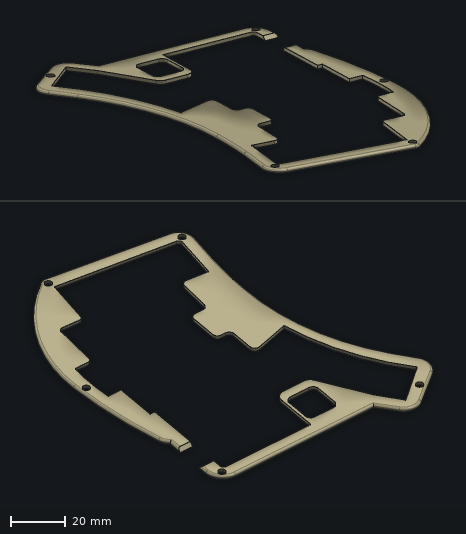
import cadquery as cq
thickness = 1.5
rim_radius = 1.0
screw_hole_diameter = 3.0
screw_holes = [(14.0, 99.5), (82.8, 109.6), (138.9, 84.0), (129.8, 28.5), (9.0, 11.1)]

bar_left_x = 10.1
bar_top_y = 104.0
bar_top_left = (bar_left_x, bar_top_y)
foot_notch = (bar_left_x, 31.7)
foot_left = (-2.5, 21.3)
foot_bottom = (16.2, -2.7)

lower_curve_start = (30.5, 8.2)
lower_curve_mid = (58.7, 22.7)
lower_curve_peak = (92.3, 28.0)
lower_curve_bend = (102.3, 27.7)
lower_curve_end = (112.2, 26.8)
right_bottom = (133.6, 23.9)
right_top = (142.3, 84.2)
crest_right_mid = (118.2, 105.7)
crest = (86.6, 112.6)
crest_left_end = (43.3, 106.4)
shoulder_foot = (39.5, bar_top_y)

bar_radius = 7.8
foot_radius = 6.8
right_bottom_radius = 7.0
right_top_radius = 2.8

gap_left_x = 22.5
gap_right_x = 33.4
bar_bottom_y = 98.0

bar_corner = (15.5, bar_bottom_y)
tab_right_x = 36.8
tab_upper = (tab_right_x, 57.0)
tab_lower = (tab_right_x, 41.5)
tab_root = (bar_corner[0], tab_upper[1])
foot_bend = (14.8, 28.1)
foot_inner_left = (5.1, 20.6)
foot_inner_bottom = (17.5, 5.7)

lower_inner_mid = (39.8, 20.6)
pad_left_root = (66.3, 30.0)
pad_left_y = 47.5
pad_top_y = 54.0
pad_top_left_x = 76.3
pad_top_right_x = 92.0
pad_corners = [
    (61.5, pad_left_y),
    (pad_top_left_x, pad_left_y),
    (pad_top_left_x, pad_top_y),
    (pad_top_right_x, pad_top_y),
    (pad_top_right_x, 46.0),
    (109.4, 44.9),
]
pad_right_root = (108.1, 33.0)

right_inner_bottom = (128.8, 30.1)
right_inner_top = (135.9, 83.4)
recess_right_x = 94.0
recess_left_x = 74.1
recess_side_y = 106.1
recess_mid = ((recess_left_x + recess_right_x) / 2, 106.7)
crest_steps = [(115.0, 86.3), (115.6, 97.0), (recess_right_x, 98.5)]
ledge_left_x = 56.5
ledge_y = 100.1

tab_radius = 3.7
pad_radius = 2.3
step_radius = 1.5

window_left_x = 18.0
window_bottom_y = 42.0
window_width = 14.5
window_height = 13.5
window_radius = 2.4


def round_corners(body, corners, radius):
    """Round the upright edges that stand at the given corner points."""
    for x, y in corners:
        corner = cq.selectors.NearestToPointSelector((x, y, thickness / 2))
        body = body.edges("|Z").edges(corner).fillet(radius)
    return body


def make_blank():
    """Full plate inside the outer outline, with its upper rim rounded."""
    body = (
        cq.Workplane("XY")
        .polyline([bar_top_left, foot_notch, foot_left, foot_bottom, lower_curve_start])
        .threePointArc(lower_curve_mid, lower_curve_peak)
        .threePointArc(lower_curve_bend, lower_curve_end)
        .lineTo(*right_bottom)
        .lineTo(*right_top)
        .threePointArc(crest_right_mid, crest)
        .tangentArcPoint(crest_left_end, relative=False)
        .tangentArcPoint(shoulder_foot, relative=False)
        .close()
        .extrude(thickness)
    )
    body = round_corners(body, [foot_left, foot_bottom], foot_radius)
    body = round_corners(body, [bar_top_left], bar_radius)
    body = round_corners(body, [right_bottom], right_bottom_radius)
    body = round_corners(body, [right_top], right_top_radius)
    return body.faces(">Z").edges().fillet(rim_radius)


def make_opening():
    """Solid that fills the large opening enclosed by the frame."""
    left_side = [bar_corner, tab_root, tab_upper, tab_lower, foot_bend, foot_inner_left, foot_inner_bottom]
    right_side = pad_corners + [pad_right_root, right_inner_bottom, right_inner_top] + crest_steps
    ledge = [(recess_left_x, ledge_y), (ledge_left_x, ledge_y), (ledge_left_x, bar_bottom_y)]
    body = (
        cq.Workplane("XY")
        .polyline(left_side)
        .threePointArc(lower_inner_mid, pad_left_root)
        .polyline(right_side, includeCurrent=True)
        .lineTo(recess_right_x, recess_side_y)
        .threePointArc(recess_mid, (recess_left_x, recess_side_y))
        .polyline(ledge, includeCurrent=True)
        .close()
        .extrude(thickness)
    )
    body = round_corners(body, [tab_upper, tab_lower], tab_radius)
    body = round_corners(body, pad_corners, pad_radius)
    return round_corners(body, [bar_corner, right_inner_bottom] + crest_steps, step_radius)


def make_gap():
    """Wedge that cuts through the top bar, wider at the top of the plate."""
    profile = [
        (gap_left_x, 0),
        (gap_right_x, 0),
        (gap_right_x + thickness, thickness),
        (gap_left_x - thickness, thickness),
    ]
    overlap = 1.4
    length = bar_top_y - bar_bottom_y + 2 * overlap
    return cq.Workplane("XZ", origin=(0, bar_top_y + overlap, 0)).polyline(profile).close().extrude(length)


def make_window():
    """Rounded rectangular window through the tab."""
    return (
        cq.Workplane("XY")
        .rect(window_width, window_height, centered=False)
        .extrude(thickness)
        .edges("|Z")
        .fillet(window_radius)
        .translate((window_left_x, window_bottom_y, 0))
    )


def make_screw_holes():
    """Pins that cut the through holes for the screws."""
    return cq.Workplane("XY").pushPoints(screw_holes).circle(screw_hole_diameter / 2).extrude(thickness)


result = make_blank()
for cutter in (make_opening(), make_gap(), make_window(), make_screw_holes()):
    result = result.cut(cutter)